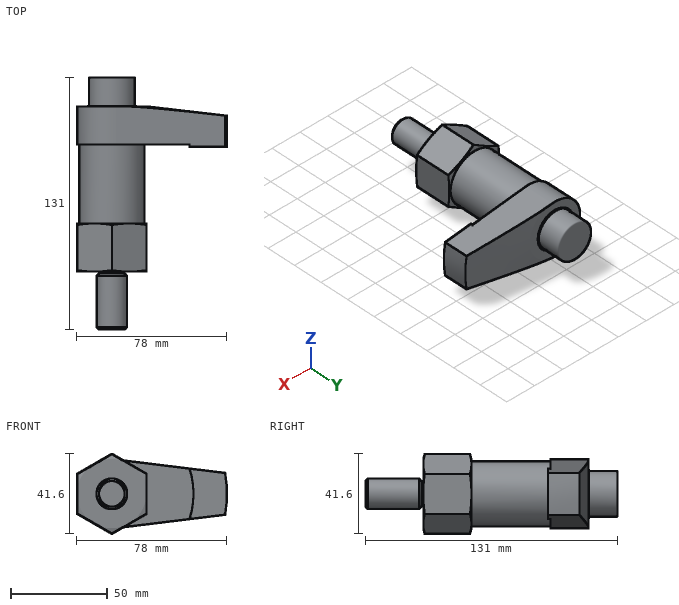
import cadquery as cq
import math

TOTAL_LENGTH = 131.0
NUT_BOTTOM = 30.0
NUT_TOP = 55.0
LEVER_BOTTOM = 96.0
LEVER_TOP = 116.0

STUD_DIAMETER = 16.0
STUD_CHAMFER = 1.3
NECK_DIAMETER = 13.0
NECK_LENGTH = 1.0
SLEEVE_DIAMETER = 34.0
COLLAR_DIAMETER = 25.0
COLLAR_HEIGHT = 0.3
BUTTON_DIAMETER = 24.0
BUTTON_FILLET = 0.8

NUT_SIDES = 6
NUT_ACROSS_FLATS = 36.0
NUT_BEVEL_ANGLE = 15.0
NUT_ACROSS_CORNERS = NUT_ACROSS_FLATS / math.cos(math.pi / NUT_SIDES)

HUB_RADIUS = NUT_ACROSS_FLATS / 2
OVERALL_WIDTH = 78.0
LEVER_REACH = OVERALL_WIDTH - HUB_RADIUS
LEVER_SIDE_ANGLE = 7.0
LEVER_TIP_DROP = 4.8
PAD_START_RADIUS = 42.5
PAD_DEPTH = 1.2


def cylinder(radius, start, end):
    """Cylinder on the Y axis between two heights."""
    return cq.Workplane("XZ", origin=(0, start, 0)).circle(radius).extrude(start - end)


def make_stud():
    """Chamfered stud with a reduced neck next to the nut."""
    radius = STUD_DIAMETER / 2
    stud_top = NUT_BOTTOM - NECK_LENGTH
    stud = cylinder(radius, 0, stud_top).faces("<Y or >Y").chamfer(STUD_CHAMFER)
    return stud.union(cylinder(NECK_DIAMETER / 2, stud_top - STUD_CHAMFER, NUT_BOTTOM))


def make_nut():
    """Hexagon with its corners bevelled conically at both ends."""
    hexagon = (
        cq.Workplane("XZ", origin=(0, NUT_BOTTOM, 0))
        .polygon(NUT_SIDES, NUT_ACROSS_CORNERS)
        .extrude(NUT_BOTTOM - NUT_TOP)
        .rotate((0, 0, 0), (0, 1, 0), 180 / NUT_SIDES)
    )
    corner_radius = NUT_ACROSS_CORNERS / 2
    flat_radius = NUT_ACROSS_FLATS / 2
    bevel_width = corner_radius - flat_radius
    bevel_height = bevel_width * math.tan(math.radians(NUT_BEVEL_ANGLE))
    blank = (
        cylinder(corner_radius, NUT_BOTTOM, NUT_TOP)
        .faces("<Y or >Y")
        .edges()
        .chamfer(bevel_height, bevel_width)
    )
    return hexagon.intersect(blank)


def lever_outline(bottom, top):
    """Hub with straight tangent sides and an end arc centred on the hub."""
    side = math.radians(LEVER_SIDE_ANGLE)
    tangent_x = HUB_RADIUS * math.sin(side)
    tangent_z = HUB_RADIUS * math.cos(side)
    side_length = math.sqrt(LEVER_REACH**2 - HUB_RADIUS**2)
    tip_x = tangent_x + side_length * math.cos(side)
    tip_z = tangent_z - side_length * math.sin(side)
    return (
        cq.Workplane("XZ", origin=(0, bottom, 0))
        .moveTo(tangent_x, tangent_z)
        .lineTo(tip_x, tip_z)
        .threePointArc((LEVER_REACH, 0), (tip_x, -tip_z))
        .lineTo(tangent_x, -tangent_z)
        .threePointArc((-HUB_RADIUS, 0), (tangent_x, tangent_z))
        .close()
        .extrude(bottom - top)
    )


def make_lever():
    """Lever with a conically sloping back and a raised finger pad near the tip."""
    arm = lever_outline(LEVER_BOTTOM, LEVER_TOP)
    pad_bottom = LEVER_BOTTOM - PAD_DEPTH
    pad = lever_outline(pad_bottom, LEVER_BOTTOM)
    pad = pad.cut(cylinder(PAD_START_RADIUS, pad_bottom, LEVER_BOTTOM))
    slope_cutter = (
        cq.Workplane("XY")
        .moveTo(HUB_RADIUS, LEVER_TOP)
        .lineTo(LEVER_REACH, LEVER_TOP - LEVER_TIP_DROP)
        .lineTo(LEVER_REACH, LEVER_TOP)
        .close()
        .revolve(360, (0, 0, 0), (0, 1, 0))
    )
    return arm.cut(slope_cutter).union(pad)


def make_button():
    """Rounded end button standing on a thin collar."""
    button = cylinder(BUTTON_DIAMETER / 2, LEVER_TOP, TOTAL_LENGTH).faces(">Y").edges().fillet(BUTTON_FILLET)
    return button.union(cylinder(COLLAR_DIAMETER / 2, LEVER_TOP, LEVER_TOP + COLLAR_HEIGHT))


sleeve = cylinder(SLEEVE_DIAMETER / 2, NUT_TOP, LEVER_BOTTOM)
result = make_nut().union(make_stud()).union(sleeve).union(make_lever()).union(make_button())